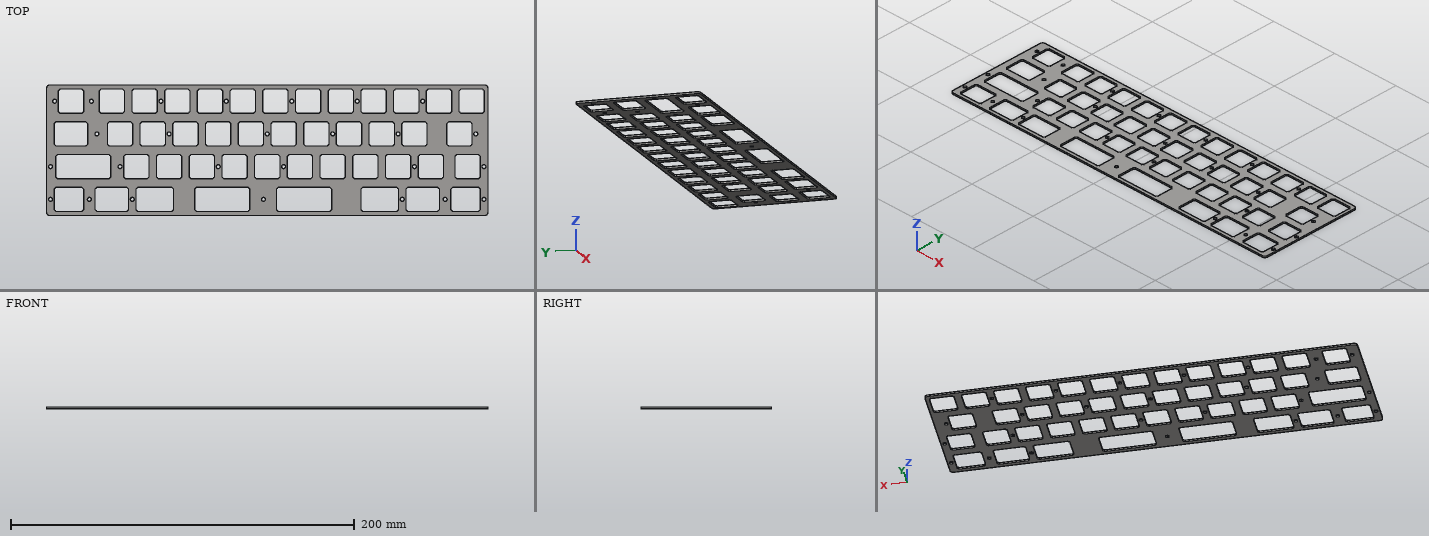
import cadquery as cq

UNIT = 19.05
PLATE_UNITS = 13.5
ROWS = 4
LENGTH = PLATE_UNITS * UNIT
DEPTH = ROWS * UNIT
THICKNESS = 1.18
PLATE_CORNER_RADIUS = 2.0

OPENING_DEPTH = 14.0
OPENING_CORNER_CHAMFER = 1.0
SINGLE = 14.6
STRETCH = UNIT / 8
WIDE_1 = SINGLE + STRETCH
WIDE_2 = SINGLE + 2 * STRETCH
WIDE_3 = SINGLE + 3 * STRETCH
LONG = 32.0

HOLE_DIAMETER = 2.2

TAB_HOLE_X = -99.2
SPACE_HOLE_X = -2.2


def from_left(units):
    """X of a position given in key units from the left edge of the plate."""
    return units * UNIT - LENGTH / 2


def row_y(row):
    """Y of the middle of a row, row 0 being the rearmost."""
    return DEPTH / 2 - (row + 0.5) * UNIT


def single_run(first_center, count):
    """Neighbouring single openings, one unit apart."""
    return [(first_center + i, SINGLE) for i in range(count)]


def mirrored(openings):
    """The given openings and their mirror images about the middle of the plate."""
    return openings + [(PLATE_UNITS - center, width) for center, width in openings]


OPENINGS = [
    [(0.75, SINGLE)] + single_run(2.0, 12),
    [(0.75, WIDE_2)] + single_run(2.25, 10) + [(12.625, SINGLE)],
    [(1.125, LONG)] + single_run(2.75, 10) + [(12.875, SINGLE)],
    mirrored([(0.6875, WIDE_1), (2.0, WIDE_2), (3.3125, WIDE_3)]) + [(5.375, LONG), (7.875, LONG)],
]

GRID_HOLES = [
    [0.25, 1.375, 3.5, 5.5, 7.5, 9.5, 11.5],
    [3.75, 6.75, 8.75, 10.75, 13.125],
    [0.125, 2.25, 5.25, 7.25, 11.25, 13.375],
    [0.125, 1.3125, 2.625, 10.875, 12.1875, 13.375],
]
OFF_GRID_HOLES = [(TAB_HOLE_X, row_y(1)), (SPACE_HOLE_X, row_y(3))]


def slab(width, depth):
    return cq.Workplane("XY").box(width, depth, THICKNESS, centered=(True, True, False))


def make_plate():
    return slab(LENGTH, DEPTH).edges("|Z").fillet(PLATE_CORNER_RADIUS)


def opening_cutter(x, y, width):
    cutter = slab(width, OPENING_DEPTH).edges("|Z").chamfer(OPENING_CORNER_CHAMFER)
    return cutter.translate((x, y, 0)).val()


def cut_openings(plate):
    cutters = [
        opening_cutter(from_left(center), row_y(row), width)
        for row, openings in enumerate(OPENINGS)
        for center, width in openings
    ]
    return plate.cut(cq.Workplane(cq.Compound.makeCompound(cutters)))


def drill_holes(plate):
    grid_points = [
        (from_left(center), row_y(row))
        for row, centers in enumerate(GRID_HOLES)
        for center in centers
    ]
    top = plate.faces(">Z").workplane(origin=(0, 0, 0))
    return top.pushPoints(grid_points + OFF_GRID_HOLES).hole(HOLE_DIAMETER)


result = drill_holes(cut_openings(make_plate()))